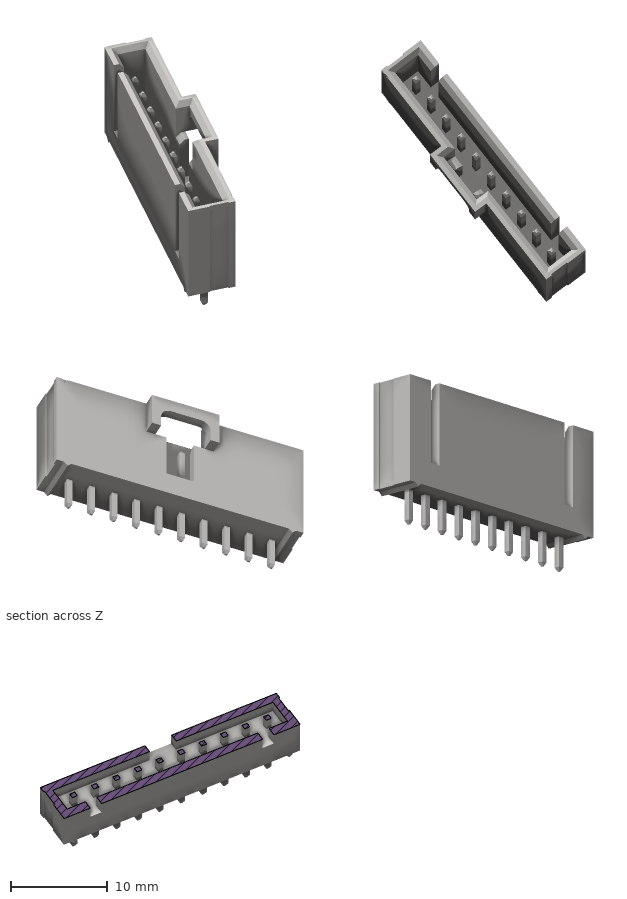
import cadquery as cq

PIN_COUNT = 10
PITCH = 2.54
PIN_SIZE = 0.64
PIN_TIP_SIZE = 0.22
PIN_TAPER = 0.4
PIN_TAIL = 3.66
PIN_MATING = 6.1

LENGTH = 27.86
DEPTH = 5.13
HEIGHT = 11.45
FLOOR = 2.6
PIN_Y = 2.52

SIDE_WALL = 0.97
FRONT_WALL = 1.1
REAR_WALL = 1.02
CHAMFER_RUN = 0.52
CHAMFER_DROP = 0.55

BOX_WIDTH = 3 * PITCH
BOX_HEIGHT = 3.86
BOX_REACH = 1.47
BOX_WALL = 1.02
BOX_BACK_HEIGHT = 1.5
WINDOW_RADIUS = 1.1
KEYWAY_WIDTH = 3.1

SLOT_WIDTH = 1.3
SLOT_X = 4 * PITCH

RELIEF_DEPTH = 0.12
RELIEF_START = 2.34
RELIEF_END = 4.38

MARK_X = 13.04
MARK_WIDTH = 0.6
MARK_HEIGHT = 0.6
MARK_DEPTH = 0.08

FOOT_X = 5 * PITCH
FOOT_WIDTH = 0.8
FOOT_HEIGHT = 0.4

CAVITY_WIDTH = LENGTH - 2 * SIDE_WALL
CAVITY_REAR = DEPTH - REAR_WALL
BOX_BACK = DEPTH + BOX_REACH
BOX_INNER_WIDTH = BOX_WIDTH - 2 * BOX_WALL
BOX_INNER_BACK = BOX_BACK - BOX_WALL
LEDGE = HEIGHT - BOX_HEIGHT


def block(width, y0, y1, z0, z1, x=0):
    """Box centred on x, spanning y0..y1 and z0..z1."""
    return cq.Workplane("XY", origin=(x, y0, z0)).box(
        width, y1 - y0, z1 - z0, centered=(True, False, False)
    )


def lead_in(width, y0, y1, top):
    """Funnel that widens the opening width by y0..y1 up to the level top."""
    return (
        cq.Workplane("XY", origin=(0, (y0 + y1) / 2, top - CHAMFER_DROP))
        .rect(width, y1 - y0)
        .workplane(offset=CHAMFER_DROP)
        .rect(width + 2 * CHAMFER_RUN, y1 - y0 + 2 * CHAMFER_RUN)
        .loft(ruled=True)
    )


def make_shell():
    """Open-topped housing with the still solid polarising box on its rear wall."""
    shell = block(LENGTH, 0, DEPTH, 0, HEIGHT)
    shell = shell.union(block(BOX_WIDTH, CAVITY_REAR, BOX_BACK, LEDGE, HEIGHT))
    shell = shell.cut(block(CAVITY_WIDTH, FRONT_WALL, CAVITY_REAR, FLOOR, HEIGHT))
    return shell.cut(lead_in(CAVITY_WIDTH, FRONT_WALL, CAVITY_REAR, HEIGHT))


def cut_key_box(shell):
    """Hollow the polarising box, lower the rear wall to a ledge and cut the keyway in it."""
    shell = shell.cut(block(BOX_INNER_WIDTH, FRONT_WALL, BOX_INNER_BACK, LEDGE, HEIGHT))
    shell = shell.cut(lead_in(BOX_INNER_WIDTH, PIN_Y, BOX_INNER_BACK, HEIGHT))
    back_window = block(BOX_INNER_WIDTH, DEPTH, BOX_BACK, LEDGE, HEIGHT - BOX_BACK_HEIGHT)
    shell = shell.cut(back_window.edges("|Y and >Z").fillet(WINDOW_RADIUS))
    ledge_chamfer = (
        cq.Workplane("YZ")
        .polyline([
            (CAVITY_REAR, LEDGE),
            (CAVITY_REAR + CHAMFER_RUN, LEDGE),
            (CAVITY_REAR, LEDGE - CHAMFER_DROP),
        ])
        .close()
        .extrude(BOX_INNER_WIDTH / 2, both=True)
    )
    shell = shell.cut(ledge_chamfer)
    return shell.cut(block(KEYWAY_WIDTH, PIN_Y, DEPTH, FLOOR, LEDGE))


def cut_slots_and_reliefs(shell):
    """Cut both front wall slots and both end face reliefs."""
    for side in (-1, 1):
        shell = shell.cut(block(SLOT_WIDTH, 0, FRONT_WALL, FLOOR, HEIGHT, side * SLOT_X))
        shell = shell.cut(
            block(2 * RELIEF_DEPTH, RELIEF_START, RELIEF_END, 0, HEIGHT, side * LENGTH / 2)
        )
    return shell


def triangle(x, y0, y1, z, width, height):
    """Prism from y0 to y1 with its base centred at (x, z) and its apex pointing down."""
    return (
        cq.Workplane("XZ", origin=(x, y0, z))
        .polyline([(-width / 2, 0), (width / 2, 0), (0, -height)])
        .close()
        .extrude(y0 - y1)
    )


def make_pin(x):
    """Square pin with tapered tips at both ends."""
    bottom = -PIN_TAIL
    top = FLOOR + PIN_MATING
    pin = block(
        PIN_SIZE, PIN_Y - PIN_SIZE / 2, PIN_Y + PIN_SIZE / 2, bottom + PIN_TAPER, top - PIN_TAPER, x
    )
    for face in (">Z", "<Z"):
        tip = (
            pin.faces(face)
            .workplane(centerOption="CenterOfMass")
            .rect(PIN_SIZE, PIN_SIZE)
            .workplane(offset=PIN_TAPER)
            .rect(PIN_TIP_SIZE, PIN_TIP_SIZE)
            .loft(ruled=True, combine=False)
        )
        pin = pin.union(tip)
    return pin


result = cut_slots_and_reliefs(cut_key_box(make_shell()))
result = result.cut(triangle(MARK_X, DEPTH - MARK_DEPTH, DEPTH, HEIGHT, MARK_WIDTH, MARK_HEIGHT))
for side in (-1, 1):
    result = result.union(triangle(side * FOOT_X, 0, DEPTH, 0, FOOT_WIDTH, FOOT_HEIGHT))
for index in range(PIN_COUNT):
    result = result.union(make_pin((index - (PIN_COUNT - 1) / 2) * PITCH))